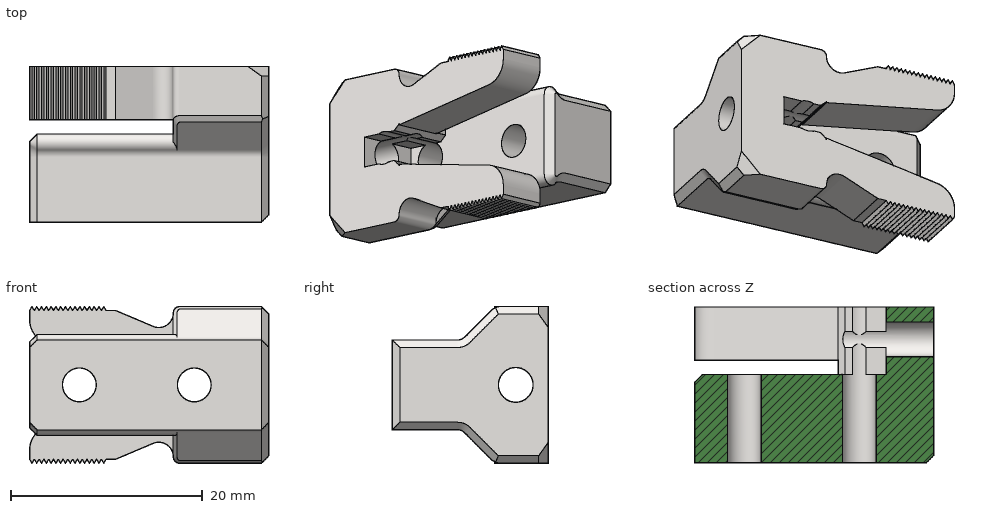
import cadquery as cq
import math

length = 25.0
depth = 16.3
half_height = 8.2
end_chamfer = 0.8

block_depth = 9.25
block_half_height = 4.7
neck_radius = 1.0
mount_hole_diameter = 3.5
mount_hole_x = 5.2
mount_hole_spacing = 12.0

head_start = 15.0
head_edge_chamfer = 0.4
head_fillet = 0.7
back_corner_chamfer = 1.0
axial_hole_diameter = 3.6
axial_hole_y = 12.9

prong_width = 5.6
prong_overlap = 0.75
tooth_count = 16
tooth_pitch = 0.5
tooth_height = 0.42
flat_end = 9.0
relief_radius = 1.5
tip_radius = 2.5
tip_center_z = 6.78
prong_root_z = 2.1
slot_mouth_half = 2.22
slot_half_width = 1.6
slot_bevel_length = 0.7
slot_end = 20.0

diagonal = neck_radius * math.sqrt(0.5)
round_y = block_depth - neck_radius
flare_y = round_y - diagonal
flare_z = block_half_height + neck_radius - diagonal
round_z = flare_z - diagonal
neck_y = flare_y - diagonal
slope_top_y = flare_y + half_height - flare_z


def mirrored(half):
    """Join an upper half with its mirror image below Z = 0."""
    return half.union(half.mirror("XY"))


def make_block():
    half_turn = math.radians(45 / 2)
    mid_y = neck_radius * math.sin(half_turn)
    mid_z = neck_radius * math.cos(half_turn)
    neck_mid = (neck_y + mid_y, block_half_height + neck_radius - mid_z)
    round_mid = (round_y + mid_y, round_z + mid_z)
    half = (
        cq.Workplane("YZ")
        .lineTo(0, block_half_height)
        .lineTo(neck_y, block_half_height)
        .threePointArc(neck_mid, (flare_y, flare_z))
        .threePointArc(round_mid, (block_depth, round_z))
        .lineTo(block_depth, 0)
        .close()
        .extrude(length)
    )
    block = mirrored(half).clean()
    block = block.faces("<X").edges("not(<Y)").chamfer(end_chamfer)
    return block.faces(">X").chamfer(end_chamfer)


def make_head():
    outline = [
        (flare_y, -flare_z),
        (slope_top_y, -half_height),
        (depth, -half_height),
        (depth, half_height),
        (slope_top_y, half_height),
        (flare_y, flare_z),
    ]
    head = cq.Workplane("YZ").workplane(offset=head_start).polyline(outline).close()
    head = head.extrude(length - head_start)
    head = head.faces("<X").edges("|Y").edges("<Z or >Z").fillet(head_fillet)
    head = head.faces(">X").edges("not(<Y or >Y)").chamfer(end_chamfer)

    margin = 0.25
    rim = cq.selectors.BoxSelector(
        (head_start - margin, flare_y + margin, -half_height - margin),
        (length - end_chamfer - margin, slope_top_y + margin, half_height + margin),
    )
    head = head.edges(rim).chamfer(head_edge_chamfer)

    bevel_mid = end_chamfer / 2
    for side in (1, -1):
        corner = (length - bevel_mid, depth, side * (half_height - bevel_mid))
        head = head.edges(cq.selectors.NearestToPointSelector(corner)).chamfer(back_corner_chamfer)
    return head


def tip_point(angle):
    """Point in XZ on the rounded tip of the upper prong."""
    return (
        tip_radius * (1 + math.cos(angle)),
        tip_center_z + tip_radius * math.sin(angle),
    )


def make_upper_prong():
    root = head_start + prong_overlap
    flat_z = half_height - tooth_height
    relief_x = head_start - relief_radius
    relief_z = half_height - head_fillet

    run = relief_x - flat_end
    rise = relief_z - flat_z
    ramp_angle = math.atan2(rise, run) - math.asin(relief_radius / math.hypot(run, rise))
    ramp_end = (
        relief_x + relief_radius * math.sin(ramp_angle),
        relief_z - relief_radius * math.cos(ramp_angle),
    )

    flank_run = head_start - tip_radius
    flank_drop = tip_center_z - prong_root_z
    tangent_angle = math.asin(tip_radius / math.hypot(flank_run, flank_drop))
    flank_angle = tangent_angle - math.atan2(flank_drop, flank_run)
    tip_end = tip_point(-math.pi / 2 + flank_angle)
    tip_mid = tip_point(-3 * math.pi / 4 + flank_angle / 2)
    root_z = prong_root_z + prong_overlap * math.tan(flank_angle)

    sketch = cq.Workplane("XZ", origin=(0, depth, 0)).moveTo(0, flat_z)
    for tooth in range(tooth_count):
        start = tooth * tooth_pitch
        sketch = sketch.lineTo(start + tooth_pitch / 2, half_height)
        sketch = sketch.lineTo(start + tooth_pitch, flat_z)
    sketch = (
        sketch.lineTo(flat_end, flat_z)
        .lineTo(*ramp_end)
        .threePointArc((relief_x, relief_z - relief_radius), (head_start, relief_z))
        .lineTo(root, relief_z)
        .lineTo(root, root_z)
        .lineTo(*tip_end)
        .threePointArc(tip_mid, (0, tip_center_z))
        .close()
    )
    return sketch.extrude(prong_width)


def make_slot():
    """Recess between the prong roots with a bevelled mouth."""
    half_profile = [
        (head_start, 0),
        (head_start, slot_mouth_half),
        (head_start + slot_bevel_length, slot_half_width),
        (slot_end, slot_half_width),
        (slot_end, 0),
    ]
    sketch = cq.Workplane("XZ", origin=(0, depth, 0)).polyline(half_profile).close()
    return mirrored(sketch.extrude(depth - block_depth))


body = make_block().union(make_head()).union(mirrored(make_upper_prong()))
body = body.cut(make_slot()).clean()

mount_holes = (
    cq.Workplane("XZ")
    .pushPoints([(mount_hole_x, 0), (mount_hole_x + mount_hole_spacing, 0)])
    .circle(mount_hole_diameter / 2)
    .extrude(-depth)
)
axial_hole = (
    cq.Workplane("YZ", origin=(head_start, axial_hole_y, 0))
    .circle(axial_hole_diameter / 2)
    .extrude(length - head_start)
)
result = body.cut(mount_holes).cut(axial_hole)